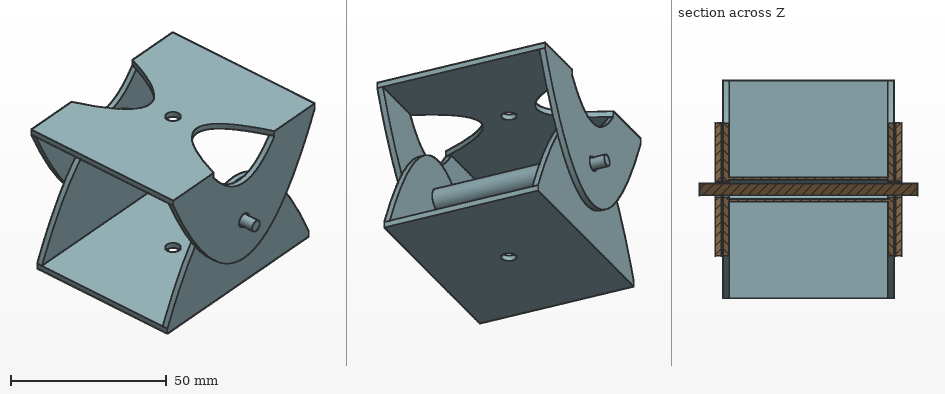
import cadquery as cq

length = 70.0
height = 54.0
sheet = 2.0

upper_width = 60.0
lower_width = 55.0
arm_reach = 15.0
base_hole_diameter = 5.0
half_height = height / 2
base_inner = half_height - sheet

notch_width = 30.0
notch_tip_z = 15.0
notch_tip_x = 10.0

pin_length = 70.0
pin_diameter = 3.9
pin_hole_diameter = 5.0
sleeve_diameter = 8.0
sleeve_bore_diameter = 6.0


def parabola_profile(plane, half_width, base, tip):
    """Region between a straight base and a parabola whose vertex is at tip."""
    control = 2 * tip - base
    return (
        cq.Workplane(plane)
        .moveTo(-half_width, base)
        .bezier([(0, control), (half_width, base)], includeCurrent=True)
        .close()
    )


def x_cylinder(diameter, span):
    """Cylinder on the pin axis, centred on the origin."""
    return cq.Workplane("YZ").circle(diameter / 2).extrude(span / 2, both=True)


def make_bracket(width):
    """U-shaped bracket with its base plate on top and parabolic arms hanging down."""
    plate = cq.Workplane("XY").box(width, length, sheet).translate((0, 0, half_height - sheet / 2))
    arms = parabola_profile("YZ", length / 2, base_inner, -arm_reach).extrude(width / 2, both=True)
    arms = arms.cut(cq.Workplane("XY").box(width - 2 * sheet, length, 2 * height))
    base_hole = cq.Workplane("XY").circle(base_hole_diameter / 2).extrude(height)
    return plate.union(arms).cut(base_hole).cut(x_cylinder(pin_hole_diameter, width))


def make_upper_bracket():
    """Wide bracket with a parabolic notch over each folded edge."""
    bracket = make_bracket(upper_width)
    arm_notch = parabola_profile("YZ", notch_width / 2, base_inner, notch_tip_z)
    bracket = bracket.cut(arm_notch.extrude(upper_width / 2, both=True))
    for side in (-1, 1):
        plane = cq.Plane(origin=(0, 0, base_inner), xDir=(0, 1, 0), normal=(0, 0, -side))
        plate_notch = parabola_profile(plane, notch_width / 2, upper_width / 2, notch_tip_x)
        bracket = bracket.cut(plate_notch.extrude(-side * sheet))
    return bracket


def make_lower_bracket():
    """Narrow inverted bracket with a fixed sleeve joining its arms."""
    bracket = make_bracket(lower_width).rotate((0, 0, 0), (1, 0, 0), 180)
    sleeve_length = lower_width - 2 * sheet
    sleeve = x_cylinder(sleeve_diameter, sleeve_length).cut(x_cylinder(sleeve_bore_diameter, sleeve_length))
    return bracket.union(sleeve)


upper_bracket = make_upper_bracket()
lower_bracket = make_lower_bracket()
pin = x_cylinder(pin_diameter, pin_length)

result = cq.Compound.makeCompound([body.solids().val() for body in (upper_bracket, lower_bracket, pin)])